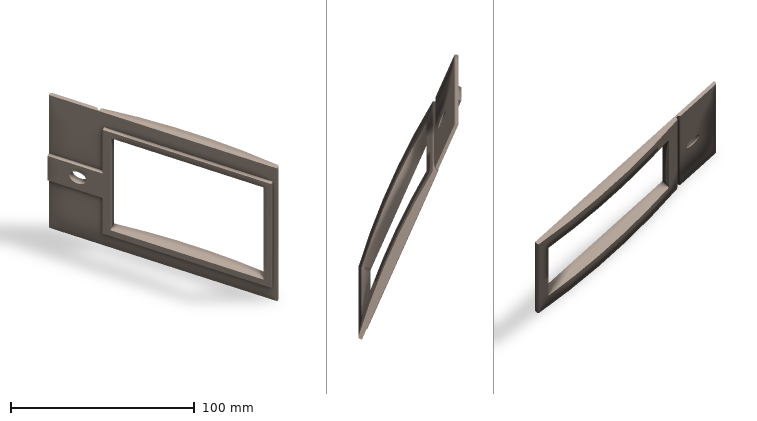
import cadquery as cq

plate_width = 134.5
plate_height = 114.3
left_edge = -plate_width / 2
right_edge = plate_width / 2

strip_thickness = 2.0
groove_floor_thickness = 0.8
panel_end_thickness = 2.36
crown_thickness = 5.49

strip_width = 28.0
groove_width = 1.5
groove_left = left_edge + strip_width
panel_left = groove_left + groove_width
edge_radius = 1.0

frame_depth = 2.0
frame_margin_left = 32.5
frame_margin_right = 2.7
frame_left = left_edge + frame_margin_left
frame_right = right_edge - frame_margin_right
frame_height = 89.4
frame_side_width = 4.5
frame_top_width = 5.0
window_left = frame_left + frame_side_width
window_right = frame_right - frame_side_width
window_height = frame_height - 2 * frame_top_width

tab_center_z = -3.55
tab_height = 21.0
hole_diameter = 10.0
hole_inset = 17.8
hole_x = left_edge + hole_inset

total_depth = frame_depth + crown_thickness
cut_clearance = 1.0


def block(x_min, x_max, z_center, height, y_min, y_max):
    """Rectangular block between the given X and Y limits, centred on z_center along Z."""
    center = ((x_min + x_max) / 2, (y_min + y_max) / 2, z_center)
    return cq.Workplane("XY").box(x_max - x_min, y_max - y_min, height).translate(center)


def plate():
    """Constant section along Z: flat strip, groove and crowned panel, with rounded outer corners."""
    panel_middle = (panel_left + right_edge) / 2
    section = (
        cq.Workplane("XY", origin=(0, 0, -plate_height / 2))
        .moveTo(left_edge, 0)
        .lineTo(right_edge, 0)
        .lineTo(right_edge, panel_end_thickness)
        .threePointArc((panel_middle, crown_thickness), (panel_left, panel_end_thickness))
        .lineTo(panel_left, groove_floor_thickness)
        .lineTo(groove_left, groove_floor_thickness)
        .lineTo(groove_left, strip_thickness)
        .lineTo(left_edge, strip_thickness)
        .close()
    )
    rounded_corners = cq.selectors.BoxSelector(
        (left_edge - edge_radius, (groove_floor_thickness + strip_thickness) / 2, -edge_radius),
        (right_edge + edge_radius, crown_thickness, edge_radius),
    )
    return section.extrude(plate_height).edges("|Z").edges(rounded_corners).fillet(edge_radius)


def raised_frame():
    """Frame border and the tab reaching from it to the left edge."""
    border = block(frame_left, frame_right, 0, frame_height, -frame_depth, 0)
    tab = block(left_edge, frame_left, tab_center_z, tab_height, -frame_depth, 0)
    return border.union(tab)


def window():
    """Rectangular opening through the frame and the crowned panel, cut past the top of the crown."""
    return block(window_left, window_right, 0, window_height, -frame_depth, crown_thickness + cut_clearance)


def tab_hole():
    """Round hole through the tab and the flat strip."""
    start = (hole_x, crown_thickness, tab_center_z)
    return cq.Workplane("XZ", origin=start).circle(hole_diameter / 2).extrude(total_depth)


result = plate().union(raised_frame()).cut(window()).cut(tab_hole())